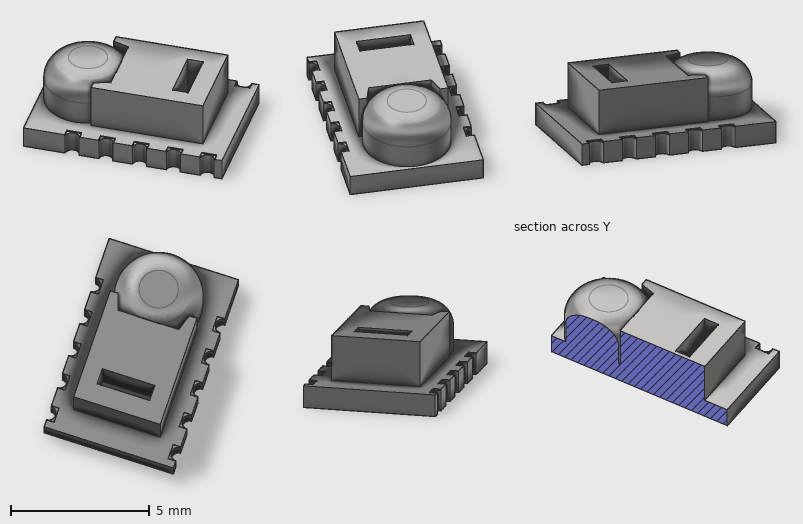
import cadquery as cq

board_length = 7.47
board_width = 4.93
board_thickness = 0.815

contact_count = 5
contact_pitch = 1.27
first_contact_x = 1.83
groove_radius = 0.26
recess_length = 0.56
recess_width = 0.29
recess_depth = 0.045

dome_x = 1.73
dome_radius = 1.605
dome_flat_radius = 0.71
dome_rounding = dome_radius - dome_flat_radius
dome_top = 2.6

housing_start = 2.315
housing_end = 6.52
housing_width = 3.3
housing_top = 2.5
notch_depth = 0.605
notch_mouth_width = 2.705
notch_inner_width = 2.315

window_start = 5.19
window_length = 0.6
window_width = 2.0


def make_board():
    board = cq.Workplane("XY").box(
        board_length, board_width, board_thickness, centered=(False, True, False)
    )
    contact_points = [
        (first_contact_x + index * contact_pitch, side * board_width / 2)
        for side in (-1, 1)
        for index in range(contact_count)
    ]
    grooves = (
        cq.Workplane("XY")
        .pushPoints(contact_points)
        .circle(groove_radius)
        .extrude(board_thickness)
    )
    recesses = (
        cq.Workplane("XY", origin=(0, 0, board_thickness - recess_depth))
        .pushPoints(contact_points)
        .rect(recess_length, 2 * recess_width)
        .extrude(recess_depth)
    )
    return board.cut(grooves).cut(recesses)


def make_dome():
    return (
        cq.Workplane("XY", origin=(dome_x, 0, board_thickness))
        .circle(dome_radius)
        .extrude(dome_top - board_thickness)
        .faces(">Z")
        .edges()
        .fillet(dome_rounding)
    )


def make_housing():
    height = housing_top - board_thickness
    notch_end = housing_start + notch_depth
    outline = [
        (housing_start, housing_width / 2),
        (housing_end, housing_width / 2),
        (housing_end, -housing_width / 2),
        (housing_start, -housing_width / 2),
        (housing_start, -notch_mouth_width / 2),
        (notch_end, -notch_inner_width / 2),
        (notch_end, notch_inner_width / 2),
        (housing_start, notch_mouth_width / 2),
    ]
    base = cq.Workplane("XY", origin=(0, 0, board_thickness))
    housing = base.polyline(outline).close().extrude(height)
    window = base.center(window_start + window_length / 2, 0).rect(window_length, window_width).extrude(height)
    return housing.cut(window)


result = make_board().union(make_housing()).union(make_dome())